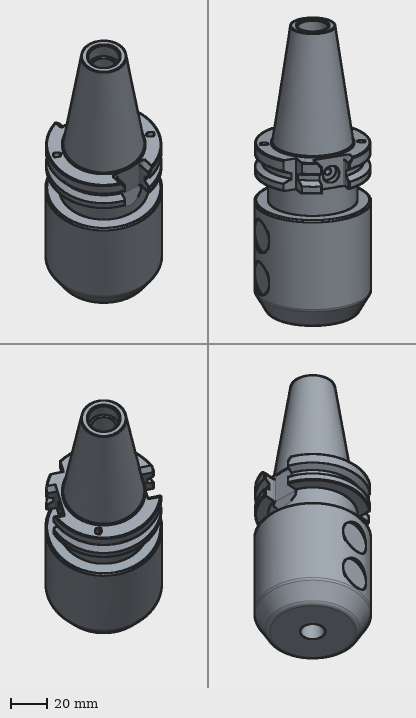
import cadquery as cq
import math

TOTAL_LENGTH = 168.2

BODY_DIAMETER = 64.5
BODY_TOP = 65.3
BODY_CHAMFER = 1.0
NOSE_HEIGHT = 12.1
NOSE_ANGLE = 30.0
NOSE_ROUND = 3.0

NECK_RADIUS = 24.7
FLANGE_RADIUS = 31.8
FLANGE_BOTTOM = 81.0
FLANGE_TOP = 99.1
FLANGE_CHAMFER = 0.5

GROOVE_Z = 89.0
GROOVE_RADIUS = 28.0
GROOVE_WIDTH = 7.5
GROOVE_FLANK_ANGLE = 30.0

TAPER_BASE_RADIUS = 22.4
TAPER_FOOT = 0.7
TAPER_RATIO = 7 / 24
TAPER_CHAMFER = 0.3

BORE_RADIUS = 6.9
COUNTERBORE_RADIUS = 8.5
COUNTERBORE_DEPTH = 8.5
COUNTERBORE_CHAMFER = 0.7

SLOT_WIDTH = 16.2
SLOT_FLARE = 2.9
SLOT_CORNER_ROUND = 0.7
SLOT_EDGE_CHAMFER_START = 30.0
LEFT_SLOT_FLOOR = NECK_RADIUS
RIGHT_SLOT_FLOOR = 22.5
RUNOUT_TOP = FLANGE_BOTTOM
RUNOUT_BOTTOM = 71.7

CHIP_HOLE_RADIUS = 4.9
CHIP_HOLE_DEPTH = 4.5
CHIP_DIMPLE_RADIUS = 1.9
CHIP_DIMPLE_DEPTH = 1.0

NOTCH_OFFSET = 18.3

COOLANT_HOLE_RADIUS = 1.9
COOLANT_CIRCLE_RADIUS = 27.0
COOLANT_DIRECTION = 70.0
COOLANT_TILT = 35.0

SCREW_RADIUS = 9.6
SCREW_HEIGHTS = (24.0, 49.0)
SCREW_OUTER_Y = 30.6
SCREW_LENGTH = 20.2

BODY_RADIUS = BODY_DIAMETER / 2
NOSE_SLOPE = math.tan(math.radians(NOSE_ANGLE))
NOSE_RADIUS = BODY_RADIUS - NOSE_HEIGHT * NOSE_SLOPE
TAPER_BASE_Z = FLANGE_TOP + TAPER_FOOT
TAPER_TOP_RADIUS = TAPER_BASE_RADIUS - (TOTAL_LENGTH - TAPER_BASE_Z) * TAPER_RATIO / 2
SCREW_INNER_Y = SCREW_OUTER_Y - SCREW_LENGTH


def revolve_profile(points):
    """Turn an outline of (radius, height) points about the tool axis."""
    return cq.Workplane("XZ").polyline(points).close().revolve(360, (0, 0, 0), (0, 1, 0))


def body_blank():
    outline = [
        (0, 0),
        (NOSE_RADIUS, 0),
        (BODY_RADIUS, NOSE_HEIGHT),
        (BODY_RADIUS, BODY_TOP),
        (0, BODY_TOP),
    ]
    blank = revolve_profile(outline)
    blank = blank.faces("%CONE").edges("%CIRCLE").fillet(NOSE_ROUND)
    return blank.faces(">Z").edges().chamfer(BODY_CHAMFER)


def flange_groove():
    flank_height = (FLANGE_RADIUS - GROOVE_RADIUS) * math.tan(math.radians(GROOVE_FLANK_ANGLE))
    half_width = GROOVE_WIDTH / 2
    half_floor = half_width - flank_height
    return revolve_profile([
        (FLANGE_RADIUS, GROOVE_Z - half_width),
        (GROOVE_RADIUS, GROOVE_Z - half_floor),
        (GROOVE_RADIUS, GROOVE_Z + half_floor),
        (FLANGE_RADIUS, GROOVE_Z + half_width),
    ])


def flange_blank():
    flange = cq.Workplane("XY", origin=(0, 0, FLANGE_BOTTOM)).circle(FLANGE_RADIUS)
    flange = flange.extrude(FLANGE_TOP - FLANGE_BOTTOM)
    return flange.edges().chamfer(FLANGE_CHAMFER).cut(flange_groove())


def neck_blank():
    neck = cq.Workplane("XY", origin=(0, 0, BODY_TOP)).circle(NECK_RADIUS)
    return neck.extrude(FLANGE_BOTTOM - BODY_TOP)


def taper_shank():
    shank = revolve_profile([
        (0, FLANGE_TOP),
        (TAPER_BASE_RADIUS + TAPER_FOOT, FLANGE_TOP),
        (TAPER_BASE_RADIUS, TAPER_BASE_Z),
        (TAPER_TOP_RADIUS, TOTAL_LENGTH),
        (0, TOTAL_LENGTH),
    ])
    return shank.faces(">Z").edges().chamfer(TAPER_CHAMFER)


def axial_bore():
    shoulder = TOTAL_LENGTH - COUNTERBORE_DEPTH
    return revolve_profile([
        (0, 0),
        (BORE_RADIUS, 0),
        (BORE_RADIUS, shoulder),
        (COUNTERBORE_RADIUS, shoulder),
        (COUNTERBORE_RADIUS, TOTAL_LENGTH - COUNTERBORE_CHAMFER),
        (COUNTERBORE_RADIUS + COUNTERBORE_CHAMFER, TOTAL_LENGTH),
        (0, TOTAL_LENGTH),
    ])


def slot_section(x):
    """Slot cross-section at the given X: parallel walls that flare open at the top."""
    half = SLOT_WIDTH / 2
    flare_bottom = FLANGE_TOP - SLOT_FLARE
    return cq.Workplane("YZ", origin=(x, 0, 0)).polyline([
        (-half, FLANGE_BOTTOM),
        (half, FLANGE_BOTTOM),
        (half, flare_bottom),
        (half + SLOT_FLARE, FLANGE_TOP),
        (-half - SLOT_FLARE, FLANGE_TOP),
        (-half, flare_bottom),
    ]).close()


def drive_slot(floor_x):
    """Cutter for the slot on the +X side, with rounded floor corners and chamfered edges."""
    slot = slot_section(floor_x).extrude(BODY_RADIUS - floor_x)
    slot = slot.faces("<X").edges("not |Y").fillet(SLOT_CORNER_ROUND)
    edge_chamfer = slot_section(SLOT_EDGE_CHAMFER_START)
    edge_chamfer = edge_chamfer.extrude(BODY_RADIUS - SLOT_EDGE_CHAMFER_START, taper=-45)
    return slot.union(edge_chamfer)


def slot_runout():
    """Sloping run-out of the deeper slot into the neck."""
    outline = [
        (RIGHT_SLOT_FLOOR, RUNOUT_TOP),
        (NECK_RADIUS, RUNOUT_BOTTOM),
        (NECK_RADIUS, RUNOUT_TOP),
    ]
    return cq.Workplane("XZ").polyline(outline).close().extrude(SLOT_WIDTH / 2, both=True)


def chip_hole():
    """Blind hole in the left slot floor with a conical centre dimple."""
    hole_floor = CHIP_HOLE_DEPTH - LEFT_SLOT_FLOOR
    outline = [
        (-LEFT_SLOT_FLOOR, 0),
        (-LEFT_SLOT_FLOOR, CHIP_HOLE_RADIUS),
        (hole_floor, CHIP_HOLE_RADIUS),
        (hole_floor, CHIP_DIMPLE_RADIUS),
        (hole_floor + CHIP_DIMPLE_DEPTH, 0),
    ]
    plane = cq.Workplane("XZ", origin=(0, 0, GROOVE_Z))
    return plane.polyline(outline).close().revolve(360, (0, 0, 0), (1, 0, 0))


def orientation_notch():
    size = BODY_RADIUS - NOTCH_OFFSET
    notch = cq.Workplane("XY", origin=(-NOTCH_OFFSET, NOTCH_OFFSET, FLANGE_BOTTOM))
    return notch.rect(-size, size, centered=False).extrude(FLANGE_TOP - FLANGE_BOTTOM)


def coolant_hole(direction):
    """Hole from the flange face, sloping down and inward to the axial bore."""
    angle = math.radians(direction)
    tilt = math.radians(COOLANT_TILT)
    inward = cq.Vector(-math.cos(angle), -math.sin(angle), 0)
    axis = inward * math.sin(tilt) - cq.Vector(0, 0, math.cos(tilt))
    mouth = cq.Vector(0, 0, FLANGE_TOP) - inward * COOLANT_CIRCLE_RADIUS
    lead_in = 2 * COOLANT_HOLE_RADIUS
    length = COOLANT_CIRCLE_RADIUS / math.sin(tilt) - BORE_RADIUS + lead_in
    return cq.Solid.makeCylinder(COOLANT_HOLE_RADIUS, length, mouth - axis * lead_in, axis)


def radial_cylinder(height, outer_y):
    """Cylinder of screw diameter along Y, from the screw's inner end to outer_y."""
    base = cq.Vector(0, SCREW_INNER_Y, height)
    return cq.Solid.makeCylinder(SCREW_RADIUS, outer_y - SCREW_INNER_Y, base, cq.Vector(0, 1, 0))


def make_holder():
    holder = body_blank().union(neck_blank()).union(flange_blank()).union(taper_shank())
    holder = holder.cut(axial_bore())
    left_slot = drive_slot(LEFT_SLOT_FLOOR).rotate((0, 0, 0), (0, 0, 1), 180)
    holder = holder.cut(left_slot).cut(chip_hole())
    holder = holder.cut(drive_slot(RIGHT_SLOT_FLOOR)).cut(slot_runout())
    holder = holder.cut(orientation_notch())
    for direction in (COOLANT_DIRECTION, COOLANT_DIRECTION + 180):
        holder = holder.cut(cq.Workplane(coolant_hole(direction)))
    for height in SCREW_HEIGHTS:
        holder = holder.cut(cq.Workplane(radial_cylinder(height, BODY_RADIUS)))
    return holder


def make_clamping_screw(height):
    return radial_cylinder(height, SCREW_OUTER_Y)


holder = make_holder()
clamping_screws = [make_clamping_screw(height) for height in SCREW_HEIGHTS]

result = cq.Compound.makeCompound([holder.val(), *clamping_screws])